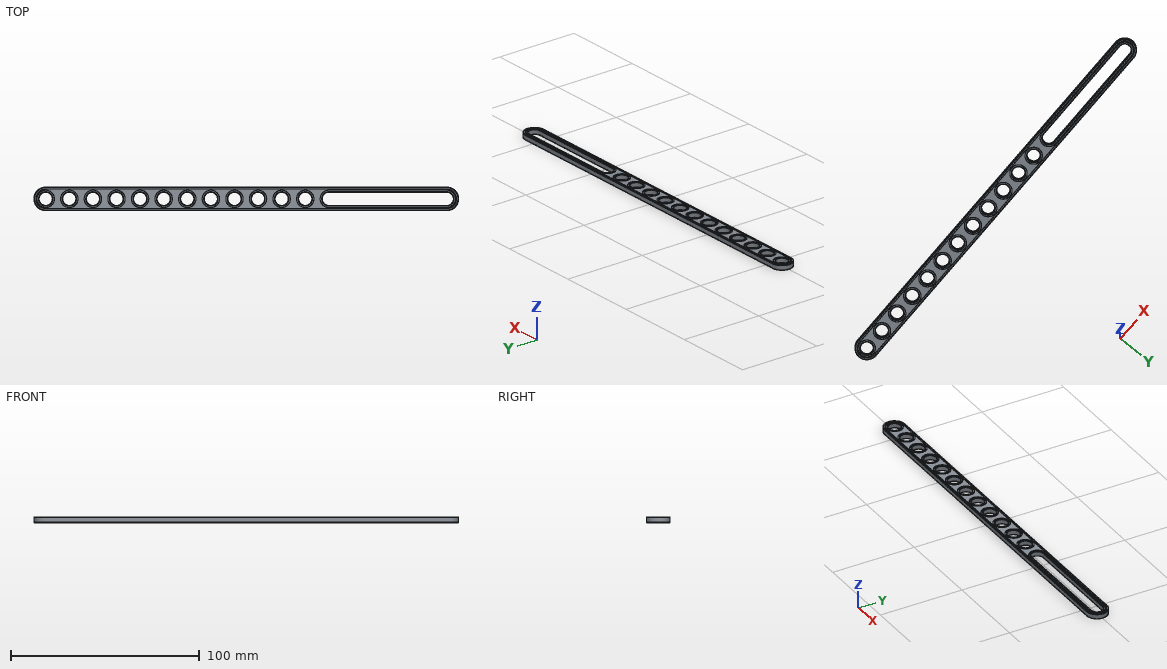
import cadquery as cq

length = 225.0
module_count = 18
pitch = length / module_count
width = pitch
thickness = 3.2

hole_count = 12
hole_diameter = 7.0
slot_start_module = hole_count
slot_end_module = module_count - 1

recess_depth = 0.2
rim_lip = 1.1
collar_diameter = 9.2

edge_chamfer = 0.32


def module_center(index):
    """X position of the center of a module, counted from the -X end."""
    return (index + 0.5) * pitch - length / 2


def round_ended_bar(bar_length, bar_width, height, center_x=0.0):
    """Bar with full-radius ends, centered on Z = 0."""
    outline = cq.Workplane("XY").center(center_x, 0).slot2D(bar_length, bar_width)
    return outline.extrude(height / 2, both=True)


def openings(diameter, height):
    """Solids of every hole and of the slot, with the slot as wide as the holes."""
    centers = [(module_center(index), 0) for index in range(hole_count)]
    holes = cq.Workplane("XY").pushPoints(centers).circle(diameter / 2).extrude(height / 2, both=True)
    slot_start = module_center(slot_start_module)
    slot_end = module_center(slot_end_module)
    slot = round_ended_bar(slot_end - slot_start + diameter, diameter, height, (slot_start + slot_end) / 2)
    return holes.union(slot)


strip = round_ended_bar(length, width, thickness).cut(openings(hole_diameter, thickness))
strip = strip.faces("|Z").edges().chamfer(edge_chamfer)

recess = round_ended_bar(length - 2 * rim_lip, width - 2 * rim_lip, thickness)
core = round_ended_bar(length, width, thickness - 2 * recess_depth)
recess = recess.cut(core).cut(openings(collar_diameter, thickness))

result = strip.cut(recess)